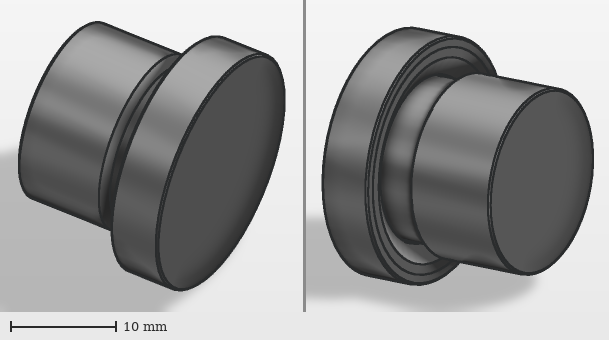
import cadquery as cq

flange_diameter = 24.0
flange_thickness = 5.2
shank_diameter = 18.0
neck_diameter = 16.0
stem_length = 12.0
shank_length = 8.95
taper_length = 0.65
edge_chamfer = 0.2

ring_outer_diameter = 21.98
ring_inner_diameter = 16.37
ring_mouth_diameter = 20.0
ring_mouth_depth = 1.0
ring_thickness = 2.0
groove_outer_diameter = 22.0

flange_face_x = stem_length
flange_back_x = flange_face_x + flange_thickness
groove_floor_x = flange_face_x + ring_thickness


def revolve_about_x(profile):
    """Revolve a closed (x, radius) outline about the X axis."""
    return cq.Workplane("XY").polyline(profile).close().revolve(360, (0, 0, 0), (1, 0, 0))


def make_plug():
    """Shank, tapered shoulder, neck and grooved flange."""
    shank_radius = shank_diameter / 2
    neck_radius = neck_diameter / 2
    flange_radius = flange_diameter / 2
    groove_radius = groove_outer_diameter / 2
    return revolve_about_x([
        (0, 0),
        (0, shank_radius - edge_chamfer),
        (edge_chamfer, shank_radius),
        (shank_length, shank_radius),
        (shank_length + taper_length, neck_radius),
        (groove_floor_x, neck_radius),
        (groove_floor_x, groove_radius),
        (flange_face_x, groove_radius),
        (flange_face_x, flange_radius - edge_chamfer),
        (flange_face_x + edge_chamfer, flange_radius),
        (flange_back_x - edge_chamfer, flange_radius),
        (flange_back_x, flange_radius - edge_chamfer),
        (flange_back_x, 0),
    ])


def make_sealing_ring():
    """Ring with a conical mouth that narrows to a bore around the neck."""
    outer_radius = ring_outer_diameter / 2
    inner_radius = ring_inner_diameter / 2
    mouth_radius = ring_mouth_diameter / 2
    return revolve_about_x([
        (flange_face_x, mouth_radius),
        (flange_face_x, outer_radius),
        (groove_floor_x, outer_radius),
        (groove_floor_x, inner_radius),
        (flange_face_x + ring_mouth_depth, inner_radius),
    ])


plug = make_plug()
sealing_ring = make_sealing_ring()
result = cq.Compound.makeCompound([plug.val(), sealing_ring.val()])